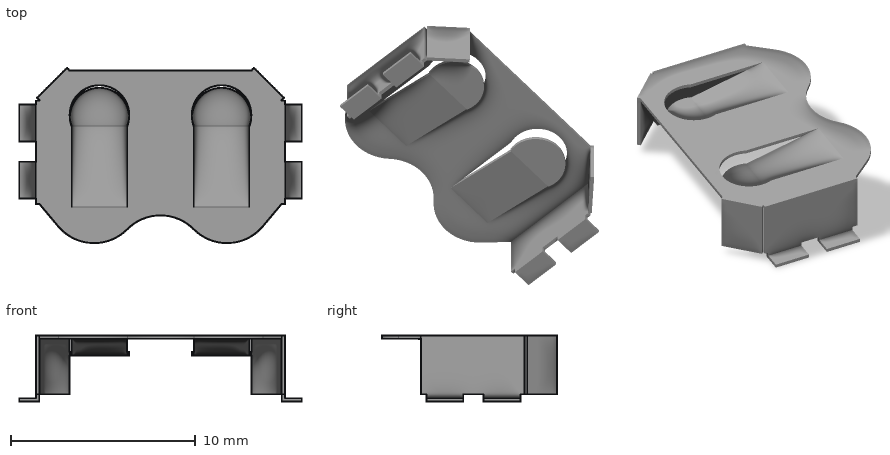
import cadquery as cq
import math

sheet = 0.2
length = 15.3
height = 3.6

fold_x = 6.55
back_y = 4.44
corner_cut = 1.64
wall_length = 5.6
lobe_radius = 2.52
lobe_x = 3.6
hollow_y = -3.41

wall_drop = 3.2
corner_relief = 0.008
tab_width = 2.0
tab_centers_y = (1.59, -1.5)

tongue_x = 3.3
tongue_width = 3.0
tongue_root_y = -2.94
hole_radius = 1.6
hole_y = 2.02
pad_shift = 0.12
tongue_drop = 0.9

plate_bottom = height - sheet
wall_bottom = height - wall_drop
wall_outer_x = fold_x + sheet
wall_front_y = -wall_length / 2
pad_top = height - tongue_drop
bend_y = hole_y - math.sqrt(hole_radius**2 - (tongue_width / 2) ** 2)


def box(x_range, y_range, z_range):
    """Box between the given lower and upper limits."""
    lows, highs = zip(x_range, y_range, z_range)
    sides = [high - low for low, high in zip(lows, highs)]
    return cq.Workplane("XY").box(*sides, centered=False).translate(lows)


def plate_half():
    """+X half of the top plate, with a wavy front edge of tangent arcs."""
    hollow_center_y = hollow_y - lobe_radius
    lobe_y = hollow_center_y + math.sqrt((2 * lobe_radius) ** 2 - lobe_x**2)

    run_x = fold_x - lobe_x
    run_y = lobe_y - wall_front_y
    reach = math.hypot(run_x, run_y)
    flank = math.sqrt(reach**2 - lobe_radius**2)
    flank_angle = math.asin(lobe_radius / reach) - math.atan2(run_y, run_x)
    flank_end = (
        fold_x - flank * math.cos(flank_angle),
        wall_front_y - flank * math.sin(flank_angle),
    )

    touch = (lobe_x / 2, (lobe_y + hollow_center_y) / 2)
    touch_angle = math.atan2(lobe_y - hollow_center_y, lobe_x)
    hollow_mid_angle = (touch_angle + math.pi / 2) / 2
    hollow_mid = (
        lobe_radius * math.cos(hollow_mid_angle),
        hollow_center_y + lobe_radius * math.sin(hollow_mid_angle),
    )
    return (
        cq.Workplane("XY", origin=(0, 0, plate_bottom))
        .moveTo(0, back_y)
        .lineTo(fold_x - corner_cut, back_y)
        .lineTo(fold_x, back_y - corner_cut)
        .lineTo(fold_x, wall_front_y)
        .lineTo(*flank_end)
        .threePointArc((lobe_x, lobe_y - lobe_radius), touch)
        .threePointArc(hollow_mid, (0, hollow_y))
        .close()
        .extrude(sheet)
    )


def tongue_opening():
    """Keyhole-shaped window: a slot running into a round hole."""
    slot = box(
        (tongue_x - tongue_width / 2, tongue_x + tongue_width / 2),
        (tongue_root_y, hole_y),
        (plate_bottom, height),
    )
    hole = (
        cq.Workplane("XY", origin=(tongue_x, hole_y, plate_bottom))
        .circle(hole_radius)
        .extrude(sheet)
    )
    return slot.union(hole)


def tongue():
    """Ramp sloping down from the plate to a level round contact pad."""
    ramp = (
        cq.Workplane("YZ", origin=(tongue_x - tongue_width / 2, 0, 0))
        .moveTo(tongue_root_y, height)
        .lineTo(bend_y, pad_top)
        .lineTo(bend_y, pad_top - sheet)
        .lineTo(tongue_root_y, plate_bottom)
        .close()
        .extrude(tongue_width)
    )
    pad = (
        cq.Workplane("XY", origin=(tongue_x, hole_y - pad_shift, pad_top - sheet))
        .circle(hole_radius)
        .extrude(sheet)
    )
    behind_bend = box(
        (tongue_x - hole_radius, tongue_x + hole_radius),
        (bend_y, hole_y + hole_radius),
        (pad_top - sheet, pad_top),
    )
    return ramp.union(pad.intersect(behind_bend))


def side_wall():
    """Folded side wall with two feet bent outwards at its lower edge."""
    wall_x = (fold_x, wall_outer_x)
    wall = box(wall_x, (wall_front_y, wall_length / 2), (wall_bottom, height))
    for center_y in tab_centers_y:
        tab_y = (center_y - tab_width / 2, center_y + tab_width / 2)
        wall = wall.union(box(wall_x, tab_y, (0, wall_bottom)))
        wall = wall.union(box((fold_x, length / 2), tab_y, (0, sheet)))
    return wall


def corner_wall():
    """Wall folded down along the 45 degree rear corner."""
    offset = sheet / math.sqrt(2)
    front = (fold_x - corner_relief, back_y - corner_cut + corner_relief)
    back = (fold_x - corner_cut, back_y)
    front_outer = (front[0] + offset, front[1] + offset)
    back_outer = (back[0] + offset, back[1] + offset)
    return (
        cq.Workplane("XY", origin=(0, 0, wall_bottom))
        .polyline([front, front_outer, back_outer, back])
        .close()
        .extrude(wall_drop)
    )


half = (
    plate_half()
    .cut(tongue_opening())
    .union(tongue())
    .union(side_wall())
    .union(corner_wall())
)
result = half.union(half.mirror("YZ"))